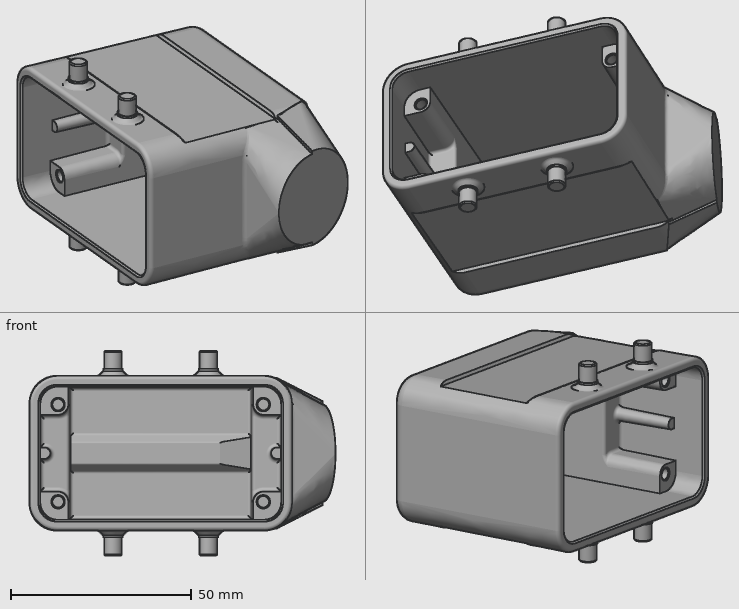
import cadquery as cq
import math

body_length = 73.0
body_width = 43.1
body_height = 57.15
body_corner_radius = 7.8
body_draft = 0.5
roof_edge_radius = 3.7
rim_outer_radius = 1.1

wall = 3.0
cavity_depth = 54.0
cavity_corner_radius = body_corner_radius - wall
cavity_floor_radius = 0.8
rim_inner_chamfer = 0.5

pocket_length = 51.4
core_draft = 0.9
shelf_depth = 28.0
shelf_fillet = 1.0
shelf_lip_radius = 0.9
post_depth = 9.4
screw_spacing_x = 57.0
screw_spacing_z = 27.0
post_radius = screw_spacing_x / 2 - pocket_length / 2
screw_hole_diameter = 3.2
screw_hole_depth = 12.0
screw_hole_chamfer = 0.3
rib_depth = 10.0
rib_radius = 1.55
rib_center_x = 32.2

ridge_height = 3.0
ridge_base_width = 10.4
ridge_top_width = 6.1
ridge_edge_radius = 0.6
ridge_ramp_start_x = 16.5
ridge_ramp_end_height = 0.9

panel_y_min = 13.0
panel_y_max = 43.5
panel_half_width = 20.2
panel_step_run = 0.5
panel_step_height = 1.0

peg_spacing = 26.5
peg_y = 6.4
peg_radius = 2.5
peg_span = 57.0
peg_tip_chamfer = 0.4
collar_radius = 2.75
collar_height = 1.9
flare_width = 0.95
flare_fillet = 1.3

spout_tilt = 15.7
spout_end_x = 44.95
spout_end_y = 47.3
spout_length = 13.4
spout_upper_radius = 14.45
spout_upper_base_height = 14.7
spout_upper_base_half_width = 21.0
spout_upper_base_tilt = 24.0
spout_upper_corner_radius = 4.4
spout_lower_radius = 13.5
spout_lower_base_height = 14.0
spout_lower_base_half_width = panel_half_width
spout_lower_base_tilt = 4.0
spout_lower_corner_radius = 4.6
spout_tip_flat = 0.05
spout_throat_fillet = 1.2
spout_axis = cq.Vector(math.cos(math.radians(spout_tilt)), math.sin(math.radians(spout_tilt)), 0)
spout_end = cq.Vector(spout_end_x, spout_end_y, 0)
spout_base = spout_end - spout_axis * spout_length

chamfer_angle = 45.0


def plane_along_y(y):
    """Plane at height y whose normal points from the opening to the roof."""
    return cq.Workplane(cq.Plane(origin=(0, y, 0), xDir=(1, 0, 0), normal=(0, 1, 0)))


def drafted_block(length, width, radius, height):
    """Rounded rectangle drawn at the opening, narrowing towards the roof."""
    outline = cq.Sketch().rect(length, width).vertices().fillet(radius)
    return plane_along_y(0).placeSketch(outline).extrude(height, taper=body_draft)


def make_body():
    """Solid drafted hood with a rounded roof edge and rim."""
    body = drafted_block(body_length, body_width, body_corner_radius, body_height)
    body = body.faces(">Y").edges().fillet(roof_edge_radius)
    return body.faces("<Y").edges().fillet(rim_outer_radius)


def make_spout_seat():
    """Block that trims the body's upper +X corner back to the base of the spout."""
    overlap = 1.0
    reach = 2 * spout_length
    seat = cq.Workplane("XY", origin=(0, -overlap, 0))
    seat = seat.box(reach, reach, body_width, centered=(False, False, True))
    seat = seat.rotate((0, 0, 0), (0, 0, 1), spout_upper_base_tilt)
    return seat.translate(spout_base)


def half_oblong(center, tilt, half_width, height, corner_radius):
    """Flat-based outline across the spout; a negative height points below the spout axis."""
    angle = math.radians(tilt)
    plane = cq.Plane(center, xDir=(0, 0, 1), normal=(math.cos(angle), math.sin(angle), 0))
    top = -height
    corner_start = top - math.copysign(corner_radius, top)
    corner_gap = corner_radius * (1 - math.sqrt(0.5))
    corner_middle = top - math.copysign(corner_gap, top)
    return (
        cq.Workplane(plane)
        .moveTo(-half_width, 0)
        .lineTo(half_width, 0)
        .lineTo(half_width, corner_start)
        .threePointArc((half_width - corner_gap, corner_middle), (half_width - corner_radius, top))
        .lineTo(corner_radius - half_width, top)
        .threePointArc((corner_gap - half_width, corner_middle), (-half_width, corner_start))
        .close()
        .val()
    )


def make_half_spout(direction, base_outline, end_radius):
    """Loft from a base outline to a half-round end, above (+1) or below (-1) the spout axis."""
    corner_radius = end_radius - spout_tip_flat
    end_height = direction * end_radius
    end_outline = half_oblong(spout_end, spout_tilt, end_radius, end_height, corner_radius)
    return cq.Workplane(cq.Solid.makeLoft([base_outline, end_outline], True))


def make_upper_spout():
    base = half_oblong(
        spout_base,
        spout_upper_base_tilt,
        spout_upper_base_half_width,
        spout_upper_base_height,
        spout_upper_corner_radius,
    )
    return make_half_spout(1, base, spout_upper_radius)


def make_lower_spout():
    base = half_oblong(
        spout_base,
        spout_lower_base_tilt,
        spout_lower_base_half_width,
        -spout_lower_base_height,
        spout_lower_corner_radius,
    )
    return make_half_spout(-1, base, spout_lower_radius)


def make_panel_cut(side):
    """Sloped-edge pocket that flattens one broad side (+Z or -Z), open at both ends."""
    floor = side * panel_half_width
    step_top = side * (panel_half_width + panel_step_height)
    outside = side * body_width
    return (
        cq.Workplane("YZ", origin=(-body_length, 0, 0))
        .moveTo(panel_y_min + panel_step_run, floor)
        .lineTo(panel_y_max - panel_step_run, floor)
        .lineTo(panel_y_max, step_top)
        .lineTo(panel_y_max, outside)
        .lineTo(panel_y_min, outside)
        .lineTo(panel_y_min, step_top)
        .close()
        .extrude(2 * body_length)
    )


def make_end_posts(side):
    """Two screw posts and the half-round rib at one end (+X or -X), thickening towards the shelf."""
    inner = side * pocket_length / 2
    outer = side * body_length / 2
    post_inner_z = screw_spacing_z / 2 - post_radius
    rib_center = side * rib_center_x
    posts = (
        plane_along_y(rib_depth)
        .moveTo(outer, rib_radius)
        .lineTo(rib_center, rib_radius)
        .threePointArc((rib_center - side * rib_radius, 0), (rib_center, -rib_radius))
        .lineTo(outer, -rib_radius)
        .close()
        .extrude(shelf_depth - rib_depth, taper=-core_draft)
    )
    round_middle = post_radius * (1 - math.sqrt(0.5))
    for end in (1, -1):
        outer_z = end * body_width / 2
        post = (
            plane_along_y(post_depth)
            .moveTo(outer, outer_z)
            .lineTo(inner, outer_z)
            .lineTo(inner, end * (post_inner_z + post_radius))
            .threePointArc(
                (inner + side * round_middle, end * (post_inner_z + round_middle)),
                (inner + side * post_radius, end * post_inner_z),
            )
            .lineTo(outer, end * post_inner_z)
            .close()
            .extrude(shelf_depth - post_depth, taper=-core_draft)
        )
        posts = posts.union(post)
    return posts


def make_ridge():
    """Trapezoidal ridge along X, sloping down to the roof at its +X end."""
    end_overlap = 1.0
    half_length = pocket_length / 2 + end_overlap
    ridge = (
        cq.Workplane("YZ", origin=(-half_length, 0, 0))
        .moveTo(cavity_depth, -ridge_base_width / 2)
        .lineTo(cavity_depth - ridge_height, -ridge_top_width / 2)
        .lineTo(cavity_depth - ridge_height, ridge_top_width / 2)
        .lineTo(cavity_depth, ridge_base_width / 2)
        .close()
        .extrude(2 * half_length)
        .faces("<Y")
        .edges("|X")
        .fillet(ridge_edge_radius)
    )
    ramp_cut = (
        cq.Workplane("XY", origin=(0, 0, -body_width / 2))
        .moveTo(ridge_ramp_start_x, cavity_depth - ridge_height)
        .lineTo(pocket_length / 2, cavity_depth - ridge_ramp_end_height)
        .lineTo(pocket_length / 2, cavity_depth - ridge_height)
        .close()
        .extrude(body_width)
    )
    return ridge.cut(ramp_cut)


def make_interior(depth):
    """Drafted inner space with a flared mouth."""
    length = body_length - 2 * wall
    width = body_width - 2 * wall
    interior = drafted_block(length, width, cavity_corner_radius, depth)
    flare = 2 * rim_inner_chamfer
    mouth_radius = cavity_corner_radius + rim_inner_chamfer
    mouth_outline = cq.Sketch().rect(length + flare, width + flare).vertices().fillet(mouth_radius)
    mouth = plane_along_y(0).placeSketch(mouth_outline)
    return interior.union(mouth.extrude(rim_inner_chamfer, taper=chamfer_angle))


def make_cavity():
    """Front chamber down to the end shelves, joined to the deep pocket between the posts."""
    chamber = make_interior(shelf_depth)
    for side in (1, -1):
        chamber = chamber.cut(make_end_posts(side))
    chamber = chamber.faces(">Y").edges().fillet(shelf_fillet)
    middle = (
        plane_along_y(post_depth)
        .rect(pocket_length, 2 * body_width)
        .extrude(body_height - post_depth, taper=core_draft)
    )
    pocket = make_interior(cavity_depth).intersect(middle).cut(make_ridge())
    pocket = pocket.faces(">Y").edges().fillet(cavity_floor_radius)
    cavity = chamber.union(pocket)
    for side in (1, -1):
        lip = cq.selectors.NearestToPointSelector((side * pocket_length / 2, shelf_depth, 0))
        cavity = cavity.edges(lip).fillet(shelf_lip_radius)
    return cavity


def make_peg(x, side):
    """Peg with a flared collar, revolved about its own axis along Z."""
    root = body_width / 2 - wall / 2
    surface = body_width / 2 - peg_y * math.tan(math.radians(body_draft))
    cone_angle = math.radians(chamfer_angle)
    cone_radius = collar_radius + flare_width
    cone_z = surface + flare_fillet * (1 - math.cos(cone_angle))
    flare_radius = cone_radius + flare_fillet * math.sin(cone_angle)
    arc_middle = (
        flare_radius - flare_fillet * math.sin(cone_angle / 2),
        surface + flare_fillet * (1 - math.cos(cone_angle / 2)),
    )
    tip = peg_span / 2
    profile = (
        cq.Workplane("XZ")
        .moveTo(0, root)
        .lineTo(flare_radius, root)
        .lineTo(flare_radius, surface)
        .threePointArc(arc_middle, (cone_radius, cone_z))
        .lineTo(collar_radius, cone_z + flare_width)
        .lineTo(collar_radius, surface + collar_height)
        .lineTo(peg_radius, surface + collar_height)
        .lineTo(peg_radius, tip - peg_tip_chamfer)
        .lineTo(peg_radius - peg_tip_chamfer, tip)
        .lineTo(0, tip)
        .close()
    )
    peg = profile.revolve(360, (0, 0, 0), (0, 1, 0))
    if side < 0:
        peg = peg.mirror("XY")
    return peg.translate((x, peg_y, 0))


def make_screw_holes():
    """Four blind holes with chamfered mouths, one in each post."""
    hole_radius = screw_hole_diameter / 2
    mouth_radius = hole_radius + screw_hole_chamfer
    face = plane_along_y(post_depth)
    centers = face.rect(screw_spacing_x, screw_spacing_z, forConstruction=True).vertices()
    holes = centers.circle(hole_radius).extrude(screw_hole_depth)
    mouths = centers.circle(mouth_radius).extrude(screw_hole_chamfer, taper=chamfer_angle)
    return holes.union(mouths)


hood = make_body().cut(make_spout_seat())
for panel_side in (1, -1):
    hood = hood.cut(make_panel_cut(panel_side))
hood = hood.union(make_upper_spout()).union(make_lower_spout())
throat_point = (body_length / 2, spout_base.y - spout_lower_base_height, 0)
throat = cq.selectors.NearestToPointSelector(throat_point)
hood = hood.edges(throat).fillet(spout_throat_fillet)
hood = hood.cut(make_cavity()).cut(make_screw_holes())
for peg_x in (-peg_spacing / 2, peg_spacing / 2):
    for peg_side in (1, -1):
        hood = hood.union(make_peg(peg_x, peg_side))

result = hood.solids()